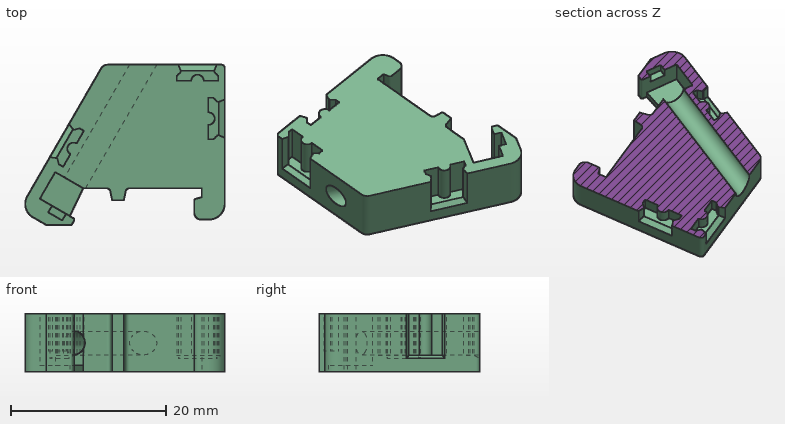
import cadquery as cq
import math

LENGTH = 25.75
HEIGHT = 20.7
THICKNESS = 7.5

SLOPE_ANGLE = 60.0
SLOPE = math.radians(SLOPE_ANGLE)
ALONG = (math.cos(SLOPE), math.sin(SLOPE))
INWARD = (math.sin(SLOPE), -math.cos(SLOPE))
HEEL_RADIUS = 1.98
HEEL_FLAT_START = 2.73
SLOPE_TOP_RADIUS = 1.08
TOP_CORNER_RADIUS = 0.46

UNDERSIDE_Y = 4.74
TOOTH_CENTER = 11.97
TOOTH_TIP_Y = 3.2
TOOTH_TIP_WIDTH = 1.55
TOOTH_ROOT_WIDTH = 2.15
TOOTH_ROOT_RADIUS = 0.5
FOOT_NECK_X = 22.75
FOOT_NECK_Y = 3.6
FOOT_TOE_X = 21.78
FOOT_TOE_Y = 3.35
FOOT_BOTTOM_Y = 0.7
FOOT_TOE_RADIUS = 0.3
FOOT_INNER_RADIUS = 0.9
FOOT_OUTER_RADIUS = 2.05

POCKET_WALL = 1.57
POCKET_DEPTH = 4.48
POCKET_WIDTH = 3.96
POCKET_START = 2.52
POCKET_FLOOR = 0.85
LIP_LENGTH = 0.77
LIP_RADIUS = 0.23
NOTCH_WIDTH = 2.08
NOTCH_DEPTH = 0.98
NOTCH_FLOOR = 2.7
SCREW_OFFSET = 2.85
SCREW_RADIUS = 1.52

MOUTH_WIDTH = 4.95
THROAT_WIDTH = 4.3
SLOT_WIDTH = 5.35
MOUTH_DEPTH = 0.8
SHOULDER_DEPTH = 0.95
SLOT_DEPTH = 2.1
MOUTH_FLOOR = 1.78
SLOT_FLOOR = 2.15
RIB_RADIUS = 0.8
TOP_SLOT_X = 22.21
SIDE_SLOT_Y = 13.72
SLOPE_SLOT_POSITION = 10.27

heel_center_y = (HEEL_RADIUS * (1 - ALONG[0]) + HEEL_FLAT_START * ALONG[0]) / ALONG[1]
heel_corner = (
    HEEL_RADIUS - HEEL_RADIUS * (INWARD[0] + ALONG[0]),
    heel_center_y - HEEL_RADIUS * (INWARD[1] + ALONG[1]),
)


def slope_point(along, inward):
    """Point given along and square to the slope, measured from the heel corner."""
    return (
        heel_corner[0] + along * ALONG[0] + inward * INWARD[0],
        heel_corner[1] + along * ALONG[1] + inward * INWARD[1],
    )


def make_body():
    mouth = POCKET_WALL + POCKET_DEPTH
    lip_root = slope_point(POCKET_START, mouth)
    lip_tip = slope_point(POCKET_START, mouth + LIP_LENGTH)
    lip_bottom = (lip_tip[0] - lip_tip[1] / math.tan(SLOPE), 0)
    pocket_x, pocket_y = slope_point(POCKET_START + POCKET_WIDTH, POCKET_WALL)
    mouth_top = (pocket_x + (pocket_y - UNDERSIDE_Y) * math.tan(SLOPE), UNDERSIDE_Y)
    slope_top = (heel_corner[0] + (HEIGHT - heel_corner[1]) / math.tan(SLOPE), HEIGHT)
    foot_toe = (FOOT_TOE_X, FOOT_TOE_Y)
    foot_inner = (FOOT_TOE_X, FOOT_BOTTOM_Y)
    foot_outer = (LENGTH, FOOT_BOTTOM_Y)
    top_corner = (LENGTH, HEIGHT)
    tooth_roots = [(TOOTH_CENTER + side * TOOTH_ROOT_WIDTH / 2, UNDERSIDE_Y) for side in (-1, 1)]
    tooth_tips = [(TOOTH_CENTER + side * TOOTH_TIP_WIDTH / 2, TOOTH_TIP_Y) for side in (-1, 1)]

    outline = [
        heel_corner,
        (HEEL_FLAT_START, 0),
        lip_bottom,
        lip_tip,
        lip_root,
        mouth_top,
        tooth_roots[0],
        tooth_tips[0],
        tooth_tips[1],
        tooth_roots[1],
        (FOOT_NECK_X, UNDERSIDE_Y),
        (FOOT_NECK_X, FOOT_NECK_Y),
        foot_toe,
        foot_inner,
        foot_outer,
        top_corner,
        slope_top,
    ]
    rounded_corners = [
        (heel_corner, HEEL_RADIUS),
        (lip_bottom, LIP_RADIUS),
        (lip_tip, LIP_RADIUS),
        (tooth_roots[0], TOOTH_ROOT_RADIUS),
        (tooth_roots[1], TOOTH_ROOT_RADIUS),
        (foot_toe, FOOT_TOE_RADIUS),
        (foot_inner, FOOT_INNER_RADIUS),
        (foot_outer, FOOT_OUTER_RADIUS),
        (top_corner, TOP_CORNER_RADIUS),
        (slope_top, SLOPE_TOP_RADIUS),
    ]
    body = cq.Workplane("XY").polyline(outline).close().extrude(THICKNESS)
    for (x, y), radius in rounded_corners:
        corner_edge = cq.selectors.NearestToPointSelector((x, y, THICKNESS / 2))
        body = body.edges("|Z").edges(corner_edge).fillet(radius)
    return body


def slope_box(along, inward, width, depth, floor):
    """Cutter aligned with the slope, from its floor to the top face."""
    corners = [
        slope_point(along, inward),
        slope_point(along + width, inward),
        slope_point(along + width, inward + depth),
        slope_point(along, inward + depth),
    ]
    return cq.Workplane("XY", origin=(0, 0, floor)).polyline(corners).close().extrude(THICKNESS - floor)


def make_clamp_cutter():
    pocket = slope_box(POCKET_START, POCKET_WALL, POCKET_WIDTH, POCKET_DEPTH, POCKET_FLOOR)
    screw_inward = POCKET_WALL + SCREW_OFFSET
    notch_inward = screw_inward - NOTCH_WIDTH / 2
    notch_start = POCKET_START - NOTCH_DEPTH
    notch = slope_box(notch_start, notch_inward, NOTCH_DEPTH, NOTCH_WIDTH, NOTCH_FLOOR)

    start_x, start_y = slope_point(POCKET_START + POCKET_WIDTH, screw_inward)
    screw_plane = cq.Plane(
        origin=(start_x, start_y, THICKNESS / 2), xDir=(0, 0, 1), normal=(*ALONG, 0)
    )
    screw_hole = cq.Workplane(screw_plane).circle(SCREW_RADIUS).extrude(HEIGHT)
    return pocket.union(notch).union(screw_hole)


def make_slot_cutter():
    """Marker slot with its mouth centred on the origin, cutting toward -Y."""
    mouth = (
        cq.Workplane("XY")
        .polyline([
            (-MOUTH_WIDTH / 2, 0),
            (MOUTH_WIDTH / 2, 0),
            (THROAT_WIDTH / 2, -MOUTH_DEPTH),
            (-THROAT_WIDTH / 2, -MOUTH_DEPTH),
        ])
        .close()
        .extrude(THICKNESS)
    )
    sloping_floor = (
        cq.Workplane("YZ")
        .polyline([
            (0, MOUTH_FLOOR),
            (-MOUTH_DEPTH, SLOT_FLOOR),
            (-MOUTH_DEPTH, THICKNESS),
            (0, THICKNESS),
        ])
        .close()
        .extrude(MOUTH_WIDTH / 2, both=True)
    )
    shoulder_end = SHOULDER_DEPTH + (SLOT_WIDTH - THROAT_WIDTH) / 2
    inner = (
        cq.Workplane("XY", origin=(0, 0, SLOT_FLOOR))
        .moveTo(-THROAT_WIDTH / 2, -MOUTH_DEPTH)
        .lineTo(-THROAT_WIDTH / 2, -SHOULDER_DEPTH)
        .lineTo(-SLOT_WIDTH / 2, -shoulder_end)
        .lineTo(-SLOT_WIDTH / 2, -SLOT_DEPTH)
        .lineTo(-RIB_RADIUS, -SLOT_DEPTH)
        .threePointArc((0, RIB_RADIUS - SLOT_DEPTH), (RIB_RADIUS, -SLOT_DEPTH))
        .lineTo(SLOT_WIDTH / 2, -SLOT_DEPTH)
        .lineTo(SLOT_WIDTH / 2, -shoulder_end)
        .lineTo(THROAT_WIDTH / 2, -SHOULDER_DEPTH)
        .lineTo(THROAT_WIDTH / 2, -MOUTH_DEPTH)
        .close()
        .extrude(THICKNESS - SLOT_FLOOR)
    )
    return mouth.intersect(sloping_floor).union(inner)


slot_places = [
    ((TOP_SLOT_X, HEIGHT), 0),
    ((LENGTH, SIDE_SLOT_Y), -90),
    (slope_point(SLOPE_SLOT_POSITION, 0), SLOPE_ANGLE),
]

result = make_body().cut(make_clamp_cutter())
slot_cutter = make_slot_cutter()
for (slot_x, slot_y), turn in slot_places:
    placed_slot = slot_cutter.rotate((0, 0, 0), (0, 0, 1), turn).translate((slot_x, slot_y, 0))
    result = result.cut(placed_slot)